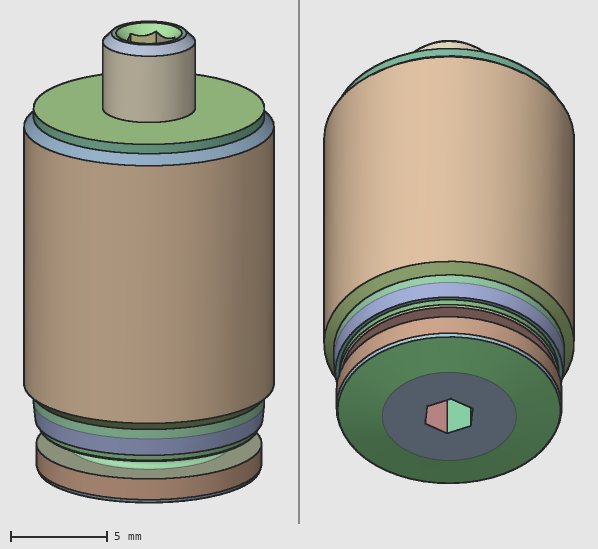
import cadquery as cq
import math

total_height = 24.2
body_diameter = 13.0
shoulder_diameter = 12.0
pin_diameter = 4.82

flange_diameter = 11.71
bottom_flat_diameter = 6.97
bottom_cone_height = 0.4
flange_edge_height = 0.6
flange_edge_inset = 0.07
flange_top = 1.75

neck_diameter = 7.75
neck_fillet_radius = 0.36

collar_bottom = 2.61
collar_tip_diameter = 11.4
collar_tip_bevel = 0.1
collar_step = 3.05
collar_step_diameter = 11.8
collar_taper_top = 4.0
collar_top = 4.5

body_chamfer = (body_diameter - shoulder_diameter) / 2
body_bottom = collar_top + body_chamfer
shoulder_top = 20.1
shoulder_height = 0.5
shoulder_bottom = shoulder_top - shoulder_height
body_top = shoulder_bottom - body_chamfer
pin_chamfer = 0.45

hex_across_flats = 2.37
lead_in_diameter = 3.44
lead_in_slope = 45.0


def make_outer_body():
    """Revolve the stepped half profile around the Z axis."""
    flange_radius = flange_diameter / 2
    neck_radius = neck_diameter / 2
    tip_radius = collar_tip_diameter / 2
    step_radius = collar_step_diameter / 2
    shoulder_radius = shoulder_diameter / 2
    body_radius = body_diameter / 2
    pin_radius = pin_diameter / 2
    fillet_mid_offset = neck_fillet_radius * (1 - math.sqrt(0.5))

    return (
        cq.Workplane("XZ")
        .lineTo(bottom_flat_diameter / 2, 0)
        .lineTo(flange_radius - flange_edge_inset, bottom_cone_height)
        .lineTo(flange_radius, flange_edge_height)
        .lineTo(flange_radius, flange_top)
        .lineTo(neck_radius + neck_fillet_radius, flange_top)
        .threePointArc(
            (neck_radius + fillet_mid_offset, flange_top + fillet_mid_offset),
            (neck_radius, flange_top + neck_fillet_radius),
        )
        .lineTo(neck_radius, collar_bottom)
        .lineTo(tip_radius - collar_tip_bevel, collar_bottom)
        .lineTo(tip_radius, collar_bottom + collar_tip_bevel)
        .lineTo(tip_radius, collar_step)
        .lineTo(step_radius, collar_step)
        .lineTo(shoulder_radius, collar_taper_top)
        .lineTo(shoulder_radius, collar_top)
        .lineTo(body_radius, body_bottom)
        .lineTo(body_radius, body_top)
        .lineTo(shoulder_radius, shoulder_bottom)
        .lineTo(shoulder_radius, shoulder_top)
        .lineTo(pin_radius, shoulder_top)
        .lineTo(pin_radius, total_height - pin_chamfer)
        .lineTo(pin_radius - pin_chamfer, total_height)
        .lineTo(0, total_height)
        .close()
        .revolve(360, (0, 0, 0), (0, 1, 0))
    )


def make_hex_socket():
    """Full-height hexagonal prism with corners on the Y axis."""
    across_corners = hex_across_flats / math.cos(math.radians(30))
    return (
        cq.Workplane("XY")
        .polygon(6, across_corners)
        .extrude(total_height)
        .rotate((0, 0, 0), (0, 0, 1), 90)
    )


def make_lead_in():
    """Countersink cone at the top of the socket."""
    radius = lead_in_diameter / 2
    depth = radius * math.tan(math.radians(lead_in_slope))
    return (
        cq.Workplane("XZ")
        .moveTo(0, total_height)
        .lineTo(radius, total_height)
        .lineTo(0, total_height - depth)
        .close()
        .revolve(360, (0, 0, 0), (0, 1, 0))
    )


result = make_outer_body().cut(make_hex_socket()).cut(make_lead_in())